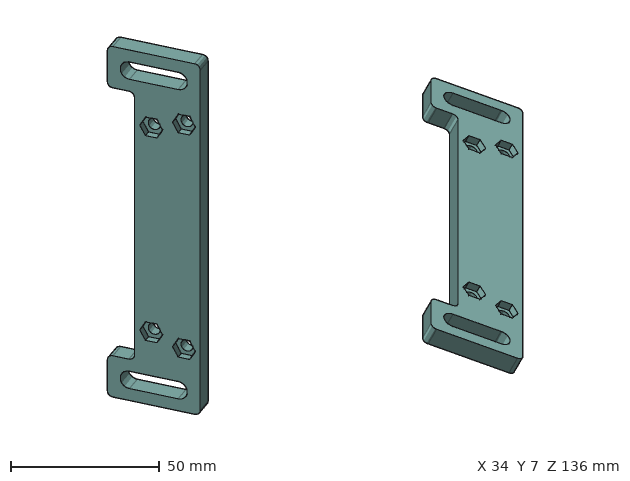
import cadquery as cq

length = 136.0
width = 34.0
thickness = 7.0
corner_radius = 2.0

notch_depth = 9.9
foot_height = 16.0

slot_length = 24.5
slot_width = 6.7
slot_z = (length - foot_height) / 2

hole_diameter = 4.4
nut_across_corners = 8.3
nut_depth = 2.7
inner_hole = (-1.0, 39.7)
outer_hole = (11.0, 43.5)

front_y = -thickness / 2
notch_length = length - 2 * foot_height


def make_plate():
    """Notched plate with every profile corner rounded."""
    plate = cq.Workplane("XY").box(width, thickness, length)
    notch = (
        cq.Workplane("XY")
        .box(notch_depth, thickness, notch_length)
        .translate(((notch_depth - width) / 2, 0, 0))
    )
    return plate.cut(notch).edges("|Y").fillet(corner_radius)


def front_sketch():
    """Workplane on the -Y face; positive extrusion goes outward, toward -Y."""
    return cq.Workplane("XZ", origin=(0, front_y, 0))


slot_points = [(0, side * slot_z) for side in (1, -1)]
hole_points = [(x, side * z) for x, z in (inner_hole, outer_hole) for side in (1, -1)]

slots = front_sketch().pushPoints(slot_points).slot2D(slot_length, slot_width).extrude(-thickness)
holes = front_sketch().pushPoints(hole_points).circle(hole_diameter / 2).extrude(-thickness)
nut_pockets = front_sketch().pushPoints(hole_points).polygon(6, nut_across_corners).extrude(-nut_depth)

result = make_plate().cut(slots).cut(holes).cut(nut_pockets)